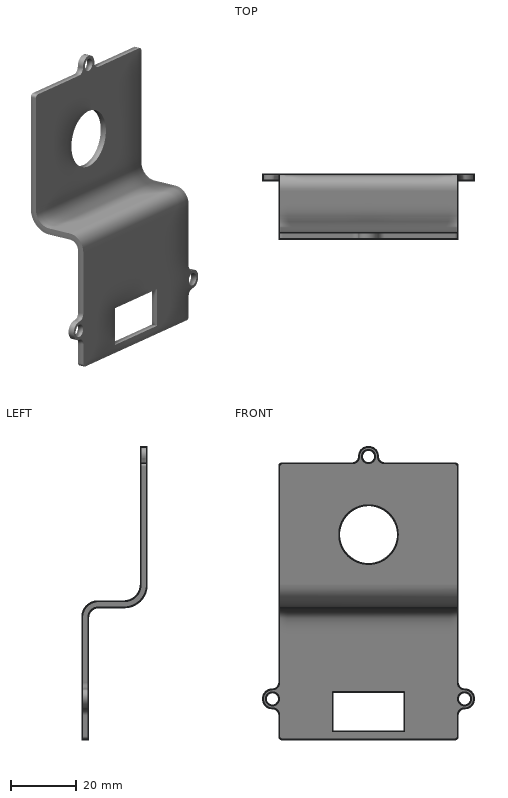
import cadquery as cq
import math

height = 90.0
thickness = 2.0
depth = 20.0
plate_width = 55.0
plate_top = 85.0
corner_radius = 1.0

shelf_bottom = 40.6
shelf_top = shelf_bottom + thickness
lower_bend_radius = 5.0
upper_bend_radius = 7.0

lug_radius = 3.0
lug_hole_diameter = 4.0
lug_fillet = 2.0
lug_root_overlap = 1.0
lug_span = 65.0
side_lug_z = 12.5
side_lug_x = lug_span / 2 - lug_radius
top_lug_z = height - lug_radius

round_hole_diameter = 18.0
round_hole_z = 63.0
window_width = 22.0
window_height = 12.0
window_bottom = 2.6

front = -depth / 2
rear = depth / 2


def extrude_along_y(sketch, y_start, y_end):
    """Extrude an XZ sketch, drawn at y = 0, between two Y positions."""
    return sketch.extrude(y_start - y_end).translate((0, y_start, 0))


def bent_sheet():
    """Z-shaped sheet with rounded bends, extruded across the width."""
    sheet = (
        cq.Workplane("YZ")
        .moveTo(rear, 0)
        .lineTo(rear, shelf_top)
        .lineTo(front + thickness, shelf_top)
        .lineTo(front + thickness, plate_top)
        .lineTo(front, plate_top)
        .lineTo(front, shelf_bottom)
        .lineTo(rear - thickness, shelf_bottom)
        .lineTo(rear - thickness, 0)
        .close()
        .extrude(plate_width / 2, both=True)
    )
    bends = (
        (rear, shelf_top, lower_bend_radius),
        (rear - thickness, shelf_bottom, lower_bend_radius - thickness),
        (front, shelf_bottom, upper_bend_radius),
        (front + thickness, shelf_top, upper_bend_radius - thickness),
    )
    for y, z, radius in bends:
        sheet = sheet.edges(cq.NearestToPointSelector((0, y, z))).fillet(radius)
    return sheet.faces("<Z or >Z").edges("|Y").fillet(corner_radius)


def lug_blank(center_offset):
    """Lug outline along +Z from a plate edge at z = 0, with flared roots, at y = 0 to thickness."""
    reach = lug_radius + lug_fillet
    rise = center_offset - lug_fillet
    flare_x = math.sqrt(reach**2 - rise**2)
    touch_x = flare_x * lug_radius / reach
    touch_z = center_offset - rise * lug_radius / reach
    end_angle = math.atan2(touch_z - lug_fillet, touch_x - flare_x)
    start_angle = -math.pi / 2
    if end_angle > 0:
        end_angle -= 2 * math.pi
    middle_angle = (start_angle + end_angle) / 2
    middle_x = flare_x + lug_fillet * math.cos(middle_angle)
    middle_z = lug_fillet + lug_fillet * math.sin(middle_angle)
    outline = (
        cq.Workplane("XZ")
        .moveTo(-flare_x, 0)
        .threePointArc((-middle_x, middle_z), (-touch_x, touch_z))
        .threePointArc((0, center_offset + lug_radius), (touch_x, touch_z))
        .threePointArc((middle_x, middle_z), (flare_x, 0))
        .lineTo(flare_x, -lug_root_overlap)
        .lineTo(-flare_x, -lug_root_overlap)
        .close()
    )
    return extrude_along_y(outline, 0, thickness)


def pin_cutter(x, z, diameter):
    """Round cutter through the whole depth."""
    circle = cq.Workplane("XZ").center(x, z).circle(diameter / 2)
    return extrude_along_y(circle, front, rear)


result = bent_sheet()

result = result.union(lug_blank(top_lug_z - plate_top).translate((0, front, plate_top)))
for side in (-1, 1):
    lug = lug_blank(side_lug_x - plate_width / 2).rotate((0, 0, 0), (0, 1, 0), side * 90)
    result = result.union(lug.translate((side * plate_width / 2, rear - thickness, side_lug_z)))

round_holes = (
    (0, top_lug_z, lug_hole_diameter),
    (-side_lug_x, side_lug_z, lug_hole_diameter),
    (side_lug_x, side_lug_z, lug_hole_diameter),
    (0, round_hole_z, round_hole_diameter),
)
for x, z, diameter in round_holes:
    result = result.cut(pin_cutter(x, z, diameter))

window_center_z = window_bottom + window_height / 2
window = cq.Workplane("XZ").center(0, window_center_z).rect(window_width, window_height)
result = result.cut(extrude_along_y(window, front, rear))